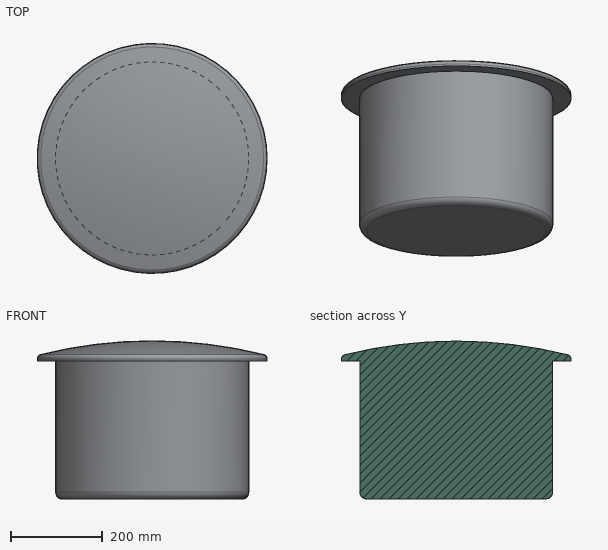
import cadquery as cq
import math

flange_diameter = 500.0
body_diameter = 420.0
total_height = 344.0
flange_underside = 300.0
crown_radius = 1000.0
rim_fillet = 10.0
base_fillet = 15.0

flange_radius = flange_diameter / 2
body_radius = body_diameter / 2
crown_center_z = total_height - crown_radius

fillet_center_x = flange_radius - rim_fillet
crown_tilt = math.asin(fillet_center_x / (crown_radius - rim_fillet))
fillet_center_z = crown_center_z + (crown_radius - rim_fillet) * math.cos(crown_tilt)


def crown_point(tilt):
    """Point (x, z) on the dome at an angle from the vertical axis."""
    return (
        crown_radius * math.sin(tilt),
        crown_center_z + crown_radius * math.cos(tilt),
    )


def rim_point(tilt):
    """Point (x, z) on the rim fillet at an angle from the vertical."""
    return (
        fillet_center_x + rim_fillet * math.sin(tilt),
        fillet_center_z + rim_fillet * math.cos(tilt),
    )


def base_point(tilt):
    """Point (x, z) on the bottom fillet at an angle from straight down."""
    return (
        body_radius - base_fillet + base_fillet * math.sin(tilt),
        base_fillet - base_fillet * math.cos(tilt),
    )


profile = (
    cq.Workplane("XZ")
    .lineTo(*base_point(0))
    .threePointArc(base_point(math.pi / 4), base_point(math.pi / 2))
    .lineTo(body_radius, flange_underside)
    .lineTo(flange_radius, flange_underside)
    .lineTo(*rim_point(math.pi / 2))
    .threePointArc(rim_point((crown_tilt + math.pi / 2) / 2), crown_point(crown_tilt))
    .threePointArc(crown_point(crown_tilt / 2), crown_point(0))
    .close()
)

result = profile.revolve(360, (0, 0, 0), (0, 1, 0))